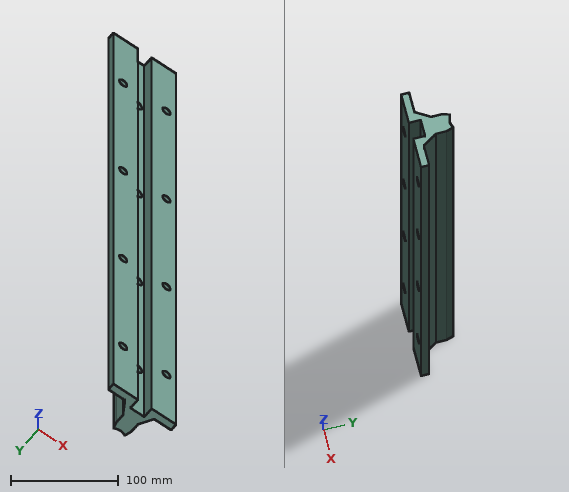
import cadquery as cq

length = 599.5
base_width = 74.0
height = 39.0

flange_thickness = 8.0
foot_width = 34.0
web_base_y = 21.5
web_width = 17.5
head_base_y = 32.0
head_width = 13.0
saddle_depth = 2.0
channel_width = 16.0
channel_depth = 11.5

hole_rows = 4
hole_pitch = length / hole_rows
flange_hole_diameter = 9.0
flange_hole_spacing = 51.0
web_hole_diameter = 11.0


def make_profile():
    """Rail section, symmetric about x = 0, with a concave saddle on its head."""
    return (
        cq.Workplane("XY")
        .moveTo(channel_width / 2, 0)
        .lineTo(base_width / 2, 0)
        .lineTo(base_width / 2, flange_thickness)
        .lineTo(foot_width / 2, flange_thickness)
        .lineTo(web_width / 2, web_base_y)
        .lineTo(web_width / 2, head_base_y)
        .lineTo(head_width / 2, height)
        .threePointArc((0, height - saddle_depth), (-head_width / 2, height))
        .lineTo(-web_width / 2, head_base_y)
        .lineTo(-web_width / 2, web_base_y)
        .lineTo(-foot_width / 2, flange_thickness)
        .lineTo(-base_width / 2, flange_thickness)
        .lineTo(-base_width / 2, 0)
        .lineTo(-channel_width / 2, 0)
        .lineTo(-channel_width / 2, channel_depth)
        .lineTo(channel_width / 2, channel_depth)
        .close()
    )


def make_holes(diameter, x):
    """Column of evenly spaced through-hole cutters along Y."""
    first_z = (length - hole_pitch * (hole_rows - 1)) / 2
    centres = [(x, first_z + row * hole_pitch) for row in range(hole_rows)]
    return cq.Workplane("XZ").pushPoints(centres).circle(diameter / 2).extrude(-height)


rail = make_profile().extrude(length)

for side in (-1, 1):
    rail = rail.cut(make_holes(flange_hole_diameter, side * flange_hole_spacing / 2))

result = rail.cut(make_holes(web_hole_diameter, 0))